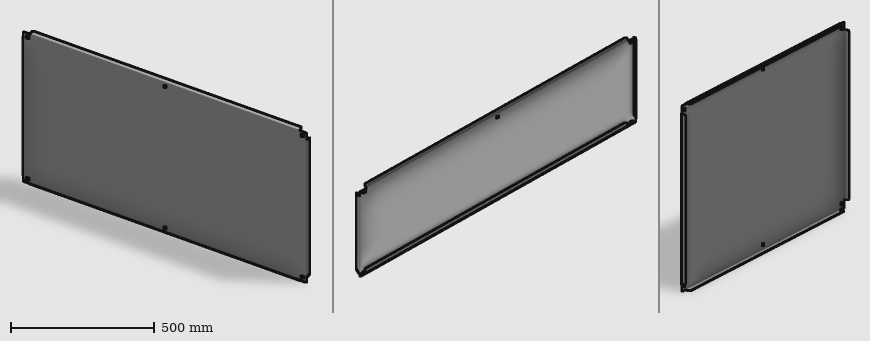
import cadquery as cq

length = 1143.0
depth = 19.05
height = 685.8

thickness = 2.5
inner_bend_radius = 0.7
bend_radius = inner_bend_radius + thickness

face_length = length - 2 * bend_radius
face_height = height - 2 * bend_radius
face_corner_radius = 6.35

flange_setback = 31.9
flange_corner_radius = 6.35
long_flange_length = length - 2 * flange_setback
short_flange_length = height - 2 * flange_setback

hole_edge_distance = 21.8
hole_diameter = 11.1
slot_length = 14.3
hole_x = length / 2 - hole_edge_distance
hole_z = height / 2 - hole_edge_distance


def make_face():
    """Flat sheet in the XZ plane, front at Y = 0, with rounded corners."""
    sheet = cq.Workplane("XY").box(face_length, thickness, face_height, centered=(True, False, True))
    return sheet.edges("|Y").fillet(face_corner_radius)


def make_flange(half_span, flange_length):
    """Bend and flange on the +X side, half_span from the centre, running along Z."""
    bend_start = half_span - bend_radius
    profile = (
        cq.Workplane("XY", origin=(0, 0, -flange_length / 2))
        .moveTo(bend_start, 0)
        .radiusArc((half_span, bend_radius), -bend_radius)
        .lineTo(half_span, depth)
        .lineTo(half_span - thickness, depth)
        .lineTo(half_span - thickness, bend_radius)
        .radiusArc((bend_start, thickness), inner_bend_radius)
        .close()
    )
    flange = profile.extrude(flange_length)
    return flange.edges("|X").edges(">Y").fillet(flange_corner_radius)


def make_panel():
    """Face with one flange folded back along each of its four sides."""
    panel = make_face()
    sides = [
        (0, length / 2, short_flange_length),
        (90, height / 2, long_flange_length),
        (180, length / 2, short_flange_length),
        (270, height / 2, long_flange_length),
    ]
    for angle, half_span, flange_length in sides:
        flange = make_flange(half_span, flange_length)
        panel = panel.union(flange.rotate((0, 0, 0), (0, 1, 0), angle))
    return panel


def cut_mounting_holes(panel):
    """Horizontal slots at the corners and round holes at mid length."""
    corners = [(x, z) for x in (-hole_x, hole_x) for z in (-hole_z, hole_z)]
    slots = cq.Workplane("XZ").pushPoints(corners).slot2D(slot_length, hole_diameter).extrude(-thickness)
    round_holes = (
        cq.Workplane("XZ")
        .pushPoints([(0, -hole_z), (0, hole_z)])
        .circle(hole_diameter / 2)
        .extrude(-thickness)
    )
    return panel.cut(slots).cut(round_holes)


result = cut_mounting_holes(make_panel())